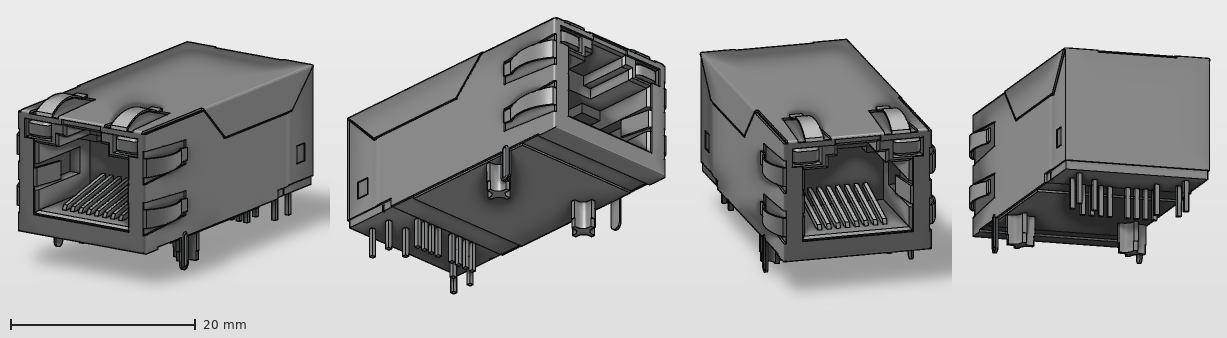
import cadquery as cq
import math


LENGTH = 32.8
WIDTH = 16.65
OVERALL_WIDTH = 19.0
OVERALL_HEIGHT = 18.5
TOP_Z = 13.75
SHEET = 0.25
BEND = SHEET
SIDE_X = WIDTH / 2
INNER_X = SIDE_X - SHEET
INNER_TOP = TOP_Z - SHEET
UNDERSIDE_Z = SHEET
HALVES = (-1, 1)

BASE_FRONT = 25.78
BASE_TOP = 1.2
BASE_REAR = LENGTH - SHEET
BASE_SLOT_Y = 27.25
BASE_SLOT_WIDTH = 0.15
BASE_SLOT_DEPTH = 0.15
BASE_SLOT_TOP = 1.02
PIN_WIDTH = 0.5
PIN_BOTTOM = -3.1
PIN_ROWS = (BASE_FRONT + PIN_WIDTH / 2, 28.5, 31.05)
SIGNAL_PITCH = 1.02
SIGNAL_PAIRS = 4
INNER_PIN_X = 3.55
OUTER_PIN_X = 6.07

CAVITY_X = 5.9
CAVITY_FLOOR = 2.62
CAVITY_TOP = 10.2
CAVITY_REAR = 10.5
KEY_X = 3.25
KEY_TOP = 11.48
LATCH_X = 2.23
LATCH_TOP = 12.65
LATCH_REAR = 6.55
LEAD_IN = 0.3
STOP_BOTTOM = 9.02
STOP_FRONT = 7.87

TAB_Z = (5.38, 7.45)
TAB_TIP_X = 5.38
TAB_TIP_Y = 4.05
TAB_BEND = 0.25
TAB_SLOT_Z = (4.92, 7.9)
TAB_SLOT_X = 7.2
TAB_SLOT_REAR = 8.53

CONTACT_COUNT = 8
CONTACT_PITCH = 1.05
CONTACT_WIDTH = 0.45
CONTACT_TIP_Y = 2.13
CONTACT_NOSE_Z = 3.15
CONTACT_NOSE_Y = 2.45
CONTACT_END_Y = 9.85
CONTACT_END_Z = 4.92
CONTACT_HEIGHT = 0.52

LAMP_X = 5.7
LAMP_Z = 11.8
LAMP_WINDOW = (3.38, 2.13)
LAMP_SIZE = (3.08, 1.85)
LAMP_SETBACK = 0.1
LAMP_SIDE_RADIUS = 0.8
LAMP_EDGE = 0.3
LAMP_POCKET_DEPTH = 1.3

FACE_OPENING_X = 6.23
FACE_OPENING_BOTTOM = 2.2
FACE_NOTCH_X = 2.55
FRONT_FLAP_LENGTH = 2.6

FLAP_FRONT_Y = 11.55
FLAP_BOTTOM_Z = 9.5
SEAM = 0.15
SIDE_STEP = 0.13
SIDE_STEP_Y = (27.35, 28.57)
WINDOW_Y = (29.62, 31.15)
WINDOW_Z = (3.25, 5.25)
REAR_NOTCH_WIDTH = 8.92
REAR_NOTCH_LENGTH = 0.5
REAR_NOTCH_CORNER = 0.15

TOP_FINGER_X = 4.9
SIDE_FINGER_Z = (3.97, 9.7)
FINGER_SLOT_LENGTH = 8.0
FINGER_SLOT_WIDTHS = (3.75, 2.72)
FINGER_WIDTHS = (2.13, 1.45)
FINGER_TIP = 7.48
FINGER_LANDING = 6.5
FINGER_APEX = 3.65
FINGER_LANDING_RISE = 0.43
FINGER_TIP_RISE = 0.52
FINGER_HEEL = 0.13
TOP_FINGER_RISE = 1.25
SIDE_FINGER_RISE = (OVERALL_WIDTH - WIDTH) / 2
FINGER_SHEET = 0.2
FINGER_CORNER = 0.1

LEG_Y = 7.77
LEG_WIDTH = 1.3
LEG_BOTTOM = TOP_Z + TOP_FINGER_RISE - OVERALL_HEIGHT
LEG_RIB_WIDTH = 0.85
LEG_RIB_HEIGHT = 0.1
LEG_RIB_BEVEL = 0.2
LEG_RIB_TOP = 0.75
LEG_RIB_MARGIN = 0.2
LEG_RIB_BOTTOM = LEG_BOTTOM + LEG_RIB_MARGIN

POST_X = 6.33
POST_Y = 10.92
POST_RADIUS = 1.57
POST_ARM = 0.5
POST_SCALLOP = 0.9
POST_BOTTOM = -3.25
POST_STEP_Z = -2.2
POST_STEP = 0.1
PAD_Y = (5.35, 22.47)


def block(x, y, z):
    """Box given by its limits along each axis."""
    return cq.Workplane("XY").box(
        x[1] - x[0], y[1] - y[0], z[1] - z[0], centered=False
    ).translate((x[0], y[0], z[0]))


def wide_block(half_width, y, z):
    """Box centred on X = 0."""
    return block((-half_width, half_width), y, z)


def mirrored(shape):
    """The shape together with its mirror image across X = 0."""
    return shape.union(shape.mirror("YZ"))


def base_envelope():
    return wide_block(INNER_X, (BASE_FRONT, BASE_REAR), (UNDERSIDE_Z, BASE_TOP))


def pin_places():
    signal_row, middle_row, rear_row = PIN_ROWS
    places = []
    for side in HALVES:
        for i in range(1, SIGNAL_PAIRS + 1):
            places.append((side * i * SIGNAL_PITCH, signal_row))
        places.append((side * INNER_PIN_X, middle_row))
        places.append((side * OUTER_PIN_X, middle_row))
        places.append((side * OUTER_PIN_X, rear_row))
    return places


def make_base():
    slot = block(
        (INNER_X - BASE_SLOT_DEPTH, INNER_X),
        (BASE_SLOT_Y - BASE_SLOT_WIDTH / 2, BASE_SLOT_Y + BASE_SLOT_WIDTH / 2),
        (UNDERSIDE_Z, BASE_SLOT_TOP),
    )
    pins = (
        cq.Workplane("XY", origin=(0, 0, PIN_BOTTOM))
        .pushPoints(pin_places())
        .rect(PIN_WIDTH, PIN_WIDTH)
        .extrude(BASE_TOP - PIN_BOTTOM)
    )
    return base_envelope().cut(mirrored(slot)).union(pins)


def opening_section(margin, y, depth):
    """Stepped plug opening, enlarged by margin, from y backwards through depth."""
    x, key, latch = CAVITY_X + margin, KEY_X + margin, LATCH_X + margin
    floor = CAVITY_FLOOR - margin
    right = [
        (x, floor),
        (x, CAVITY_TOP + margin),
        (key, CAVITY_TOP + margin),
        (key, KEY_TOP + margin),
        (latch, KEY_TOP + margin),
        (latch, LATCH_TOP + margin),
    ]
    left = [(-px, pz) for px, pz in reversed(right)]
    outline = cq.Workplane("XZ", origin=(0, y, 0)).polyline(right + left).close()
    return outline.extrude(-depth)


def opening_lead_in():
    """Bevel that narrows from the front of the housing to the plug opening."""
    wide = opening_section(LEAD_IN, SHEET, LEAD_IN).faces("<Y").wires().val()
    narrow = opening_section(0, SHEET + LEAD_IN, LEAD_IN).faces("<Y").wires().val()
    return cq.Workplane(cq.Solid.makeLoft([wide, narrow], True))


def plug_cavity():
    upper = opening_section(0, SHEET, LATCH_REAR - SHEET)
    lower = wide_block(CAVITY_X, (SHEET, CAVITY_REAR), (CAVITY_FLOOR, CAVITY_TOP))
    stop = block((KEY_X, CAVITY_X), (STOP_FRONT, CAVITY_REAR), (STOP_BOTTOM, CAVITY_TOP))
    slots = wide_block(TAB_SLOT_X, (SHEET, TAB_SLOT_REAR), TAB_SLOT_Z)
    return upper.union(lower).cut(mirrored(stop)).union(opening_lead_in()).union(slots)


def contacts():
    profile = [
        (CONTACT_TIP_Y, CAVITY_FLOOR),
        (CONTACT_NOSE_Y, CONTACT_NOSE_Z),
        (CONTACT_END_Y, CONTACT_END_Z),
        (CONTACT_END_Y, CONTACT_END_Z - CONTACT_HEIGHT),
        (CONTACT_NOSE_Y + CONTACT_HEIGHT, CAVITY_FLOOR),
    ]
    bar = cq.Workplane("YZ").polyline(profile).close().extrude(CONTACT_WIDTH)
    first_x = -(CONTACT_PITCH * (CONTACT_COUNT - 1) + CONTACT_WIDTH) / 2
    row = cq.Workplane("XY")
    for i in range(CONTACT_COUNT):
        row = row.union(bar.translate((first_x + i * CONTACT_PITCH, 0, 0)))
    return row


def front_box(size, front, rear):
    """Box at the right-hand lamp, with its X and Z size and its Y limits."""
    depth = rear - front
    box = cq.Workplane("XY").box(size[0], depth, size[1])
    return box.translate((LAMP_X, (front + rear) / 2, LAMP_Z))


def lamp():
    """Lens with rounded sides and bevelled top and bottom, rooted behind its pocket."""
    lens = front_box(LAMP_SIZE, LAMP_SETBACK, SHEET + LAMP_POCKET_DEPTH + LAMP_EDGE)
    lens = lens.edges("|Z and <Y").fillet(LAMP_SIDE_RADIUS)
    return lens.faces("<Z or >Z").edges().chamfer(LAMP_EDGE)


def post():
    """Round locating post with four scallops and a slightly thinner end."""
    core = (
        cq.Workplane("XY", origin=(0, 0, POST_BOTTOM))
        .circle(POST_RADIUS - POST_STEP).extrude(POST_STEP_Z - POST_BOTTOM)
        .faces(">Z").workplane().circle(POST_RADIUS).extrude(UNDERSIDE_Z - POST_STEP_Z)
    )
    centre = POST_ARM / 2 + POST_SCALLOP
    corner = POST_RADIUS - centre
    height = UNDERSIDE_Z - POST_BOTTOM
    scallop = (
        cq.Workplane("XY", origin=(0, 0, POST_BOTTOM))
        .moveTo(centre, POST_ARM / 2)
        .radiusArc((POST_ARM / 2, centre), POST_SCALLOP)
        .lineTo(POST_ARM / 2, centre + corner)
        .lineTo(centre + corner, centre + corner)
        .lineTo(centre + corner, POST_ARM / 2)
        .close().extrude(height)
    )
    for i in range(4):
        core = core.cut(scallop.rotate((0, 0, 0), (0, 0, 1), 90 * i))
    return core.translate((POST_X, POST_Y, 0))


def make_housing():
    body = wide_block(INNER_X, (SHEET, LENGTH - SHEET), (UNDERSIDE_Z, INNER_TOP))
    lamp_pocket = front_box(LAMP_WINDOW, SHEET, SHEET + LAMP_POCKET_DEPTH)
    return (
        body
        .cut(base_envelope())
        .cut(plug_cavity())
        .cut(mirrored(lamp_pocket))
        .union(contacts())
        .union(mirrored(lamp()))
        .union(wide_block(INNER_X, PAD_Y, (0, UNDERSIDE_Z)))
        .union(mirrored(post()))
    )


def shield_outside():
    """Folded block: the whole front is bent, and behind the side seams the top edges are too."""
    front = wide_block(SIDE_X, (0, FLAP_FRONT_Y), (0, TOP_Z)).faces("<Y").edges().fillet(BEND)
    rear = wide_block(SIDE_X, (FLAP_FRONT_Y, LENGTH), (0, TOP_Z))
    rear = rear.edges("(|Y and >Z) or (>Y and >Z) or (|Z and >Y)").fillet(BEND)
    return front.union(rear)


def shield_inside():
    """Hollow for the housing, open below behind the front flap and around the base."""
    hollow = wide_block(INNER_X, (SHEET, LENGTH - SHEET), (SHEET, INNER_TOP))
    below = wide_block(SIDE_X, (FRONT_FLAP_LENGTH, LENGTH), (0, UNDERSIDE_Z))
    base_relief = wide_block(SIDE_X, (BASE_FRONT, LENGTH), (0, BASE_TOP))
    return hollow.union(below).union(base_relief)


def face_opening():
    window_half = LAMP_WINDOW[0] / 2
    lamp_low = LAMP_Z - LAMP_WINDOW[1] / 2
    lamp_high = LAMP_Z + LAMP_WINDOW[1] / 2
    front_sheet = (0, SHEET)
    plug = wide_block(FACE_OPENING_X, front_sheet, (FACE_OPENING_BOTTOM, lamp_high))
    lamps = wide_block(LAMP_X + window_half, front_sheet, (lamp_low, lamp_high))
    notch = wide_block(FACE_NOTCH_X, front_sheet, (lamp_low, INNER_TOP))
    return plug.union(lamps).union(notch)


def grounding_tab():
    profile = [
        (FACE_OPENING_X, 0),
        (FACE_OPENING_X - TAB_BEND, TAB_BEND),
        (TAB_TIP_X, TAB_TIP_Y),
        (TAB_TIP_X + SHEET, TAB_TIP_Y),
        (FACE_OPENING_X, TAB_BEND + SHEET),
        (FACE_OPENING_X + SHEET, 0),
    ]
    tab = cq.Workplane("XY", origin=(0, 0, TAB_Z[0])).polyline(profile).close()
    return tab.extrude(TAB_Z[1] - TAB_Z[0])


def side_seam():
    """Gap around the trapezoid flap that is folded down from the top, on the +X side."""
    drop = TOP_Z - BEND - FLAP_BOTTOM_Z
    rear_y = LENGTH - BEND
    half = SEAM / 2
    slant = half * math.tan(math.pi / 8)

    def trapezoid(offset, shift):
        return [
            (FLAP_FRONT_Y - offset - shift, TOP_Z - BEND),
            (FLAP_FRONT_Y + drop - shift, FLAP_BOTTOM_Z - offset),
            (rear_y - drop + shift, FLAP_BOTTOM_Z - offset),
            (rear_y + offset + shift, TOP_Z - BEND),
        ]

    outline = trapezoid(half, slant) + trapezoid(-half, -slant)[::-1]
    return cq.Workplane("YZ", origin=(INNER_X, 0, 0)).polyline(outline).close().extrude(SHEET)


def top_seam():
    """Open corner between the top and the upright front part of the +X side panel."""
    return block((INNER_X - SEAM, SIDE_X), (0, FLAP_FRONT_Y), (INNER_TOP, TOP_Z))


def rear_notch():
    """Shallow gap in the top sheet where it meets the rear wall."""
    notch = wide_block(
        REAR_NOTCH_WIDTH / 2, (LENGTH - REAR_NOTCH_LENGTH, LENGTH), (INNER_TOP, TOP_Z)
    )
    return notch.edges("|Z and <Y").chamfer(REAR_NOTCH_CORNER)


def rear_panel_step():
    """Double-curved inward step of the +X side panel below the flap, in front of the rear wall."""
    start, end = SIDE_STEP_Y
    middle = (start + end) / 2
    quarter = (end - start) / 4
    bow = SIDE_STEP / 8
    recess = (
        cq.Workplane("XY")
        .moveTo(SIDE_X, start)
        .threePointArc((SIDE_X - bow, start + quarter), (SIDE_X - SIDE_STEP / 2, middle))
        .threePointArc((SIDE_X - SIDE_STEP + bow, end - quarter), (SIDE_X - SIDE_STEP, end))
        .lineTo(SIDE_X - SIDE_STEP, LENGTH)
        .lineTo(SIDE_X, LENGTH)
        .close().extrude(TOP_Z)
    )
    top = TOP_Z - BEND
    drop = top - FLAP_BOTTOM_Z
    knee = LENGTH - BEND - drop
    panel = (
        cq.Workplane("YZ")
        .polyline([(start, 0), (start, FLAP_BOTTOM_Z), (knee, FLAP_BOTTOM_Z), (knee + drop, top),
                   (LENGTH, top), (LENGTH, 0)])
        .close().extrude(SIDE_X)
    )
    return recess.intersect(panel)


def side_window():
    return block((INNER_X, SIDE_X), WINDOW_Y, WINDOW_Z)


def taper(widths, length, bottom, top):
    """Plan of a finger or its slot: width changes from front to rear, centred on X = 0."""
    front, rear = widths[0] / 2, widths[1] / 2
    plan = [(-front, 0), (front, 0), (rear, length), (-rear, length)]
    return cq.Workplane("XY", origin=(0, 0, bottom)).polyline(plan).close().extrude(top - bottom)


def finger_slot():
    """Cutter for the clearance around a finger; the sheet's outer surface is at Z = 0."""
    return taper(FINGER_SLOT_WIDTHS, FINGER_SLOT_LENGTH, -SHEET, SHEET)


def finger(rise):
    """Bowed spring finger rooted in the front sheet; the sheet's outer surface is at Z = 0."""
    root = -SHEET - BEND
    half_width = FINGER_WIDTHS[0] / 2
    profile = (
        cq.Workplane("YZ", origin=(-half_width, 0, 0))
        .moveTo(0, root)
        .lineTo(0, -SHEET)
        .lineTo(FINGER_HEEL, FINGER_HEEL)
        .threePointArc((FINGER_APEX, rise), (FINGER_LANDING, FINGER_LANDING_RISE))
        .lineTo(FINGER_TIP, FINGER_TIP_RISE)
        .lineTo(FINGER_TIP, FINGER_TIP_RISE - FINGER_SHEET)
        .lineTo(FINGER_LANDING, FINGER_LANDING_RISE - FINGER_SHEET)
        .threePointArc((FINGER_APEX, rise - FINGER_SHEET), (SHEET, FINGER_HEEL - FINGER_SHEET))
        .lineTo(SHEET, root)
        .close().extrude(2 * half_width)
    )
    plan = taper(FINGER_WIDTHS, FINGER_TIP, root, rise + SHEET)
    plan = plan.edges("|Z and >Y").fillet(FINGER_CORNER)
    return profile.intersect(plan)


def on_top(shape):
    """Copies of a finger-shaped part at the two places on the top."""
    return [shape.translate((side * TOP_FINGER_X, 0, TOP_Z)) for side in HALVES]


def on_sides(shape):
    """Copies of a finger-shaped part at the places on both sides."""
    copies = []
    for side in HALVES:
        turned = shape.rotate((0, 0, 0), (0, 1, 0), side * 90)
        for z in SIDE_FINGER_Z:
            copies.append(turned.translate((side * SIDE_X, 0, z)))
    return copies


def obround(width, bottom, top, x, thickness, taper_angle=0):
    """Upright plate with round ends, starting at x and growing along +X."""
    plate = cq.Workplane("YZ", origin=(x, LEG_Y, (bottom + top) / 2))
    return plate.slot2D(top - bottom, width, 90).extrude(thickness, taper=taper_angle)


def ground_leg():
    plate = obround(LEG_WIDTH, LEG_BOTTOM, UNDERSIDE_Z + LEG_WIDTH, INNER_X, SHEET)
    flank = math.degrees(math.atan2(LEG_RIB_BEVEL, LEG_RIB_HEIGHT))
    rib = obround(LEG_RIB_WIDTH, LEG_RIB_BOTTOM, LEG_RIB_TOP, SIDE_X, LEG_RIB_HEIGHT, flank)
    return plate.union(rib)


def make_shield():
    shield = shield_outside().cut(shield_inside()).cut(face_opening()).cut(rear_notch())
    for cutter in (side_seam(), top_seam(), rear_panel_step(), side_window()):
        shield = shield.cut(mirrored(cutter))
    for slot in on_top(finger_slot()) + on_sides(finger_slot()):
        shield = shield.cut(slot)
    for spring in on_top(finger(TOP_FINGER_RISE)) + on_sides(finger(SIDE_FINGER_RISE)):
        shield = shield.union(spring)
    return shield.union(mirrored(grounding_tab())).union(mirrored(ground_leg()))


base = make_base()
housing = make_housing()
shield = make_shield()

result = cq.Compound.makeCompound([shield.solids().val(), housing.solids().val(), base.solids().val()])